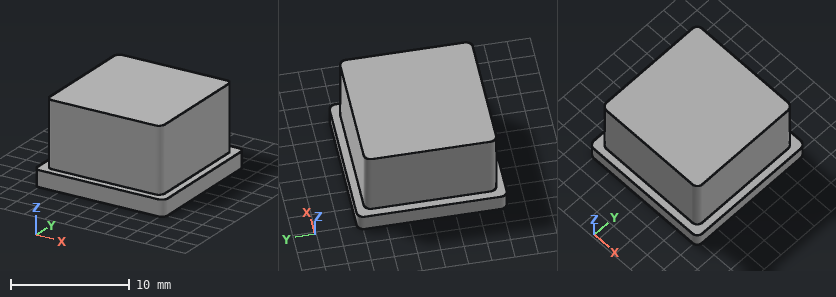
import cadquery as cq

flange_side = 12.95
flange_thickness = 1.59
block_side = 11.43
total_height = 7.94
corner_radius = 1.18 / 2


def rounded_square_prism(side, height):
    """Square prism standing on Z = 0, centred on the Z axis, with rounded vertical edges."""
    prism = cq.Workplane("XY").rect(side, side).extrude(height)
    return prism.edges("|Z").fillet(corner_radius)


flange = rounded_square_prism(flange_side, flange_thickness)
block = rounded_square_prism(block_side, total_height)

result = flange.union(block)